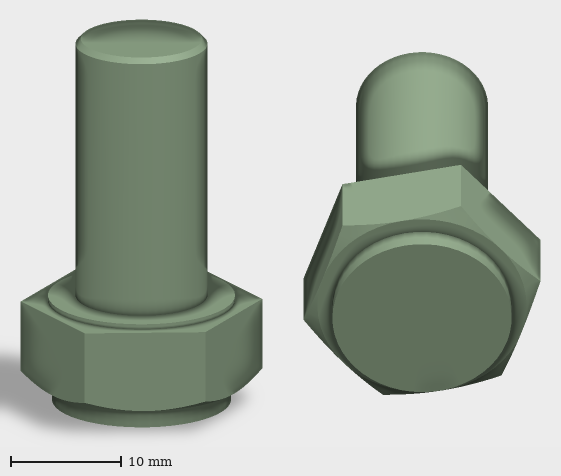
import cadquery as cq
import math

total_height = 34.5
boss_diameter = 16.3
boss_height = 2.0
across_flats = 19.0
hex_height = 7.5
collar_diameter = 17.0
collar_height = 0.5
shank_diameter = 12.0
shank_chamfer = 0.5
hex_chamfer_angle = 30.0

across_corners = across_flats / math.cos(math.radians(30))
hex_top = boss_height + hex_height
collar_top = hex_top + collar_height
shank_height = total_height - collar_top


def cylinder(diameter, height, base):
    """Upright cylinder on the Z axis, standing at the given level."""
    return cq.Workplane("XY").workplane(offset=base).circle(diameter / 2).extrude(height)


def hexagon_nut():
    """Hexagon with corners on the Y axis and its lower corners cut by a cone."""
    prism = (
        cq.Workplane("XY")
        .workplane(offset=boss_height)
        .transformed(rotate=(0, 0, 90))
        .polygon(6, across_corners)
        .extrude(hex_height)
    )
    inner_radius = across_flats / 2
    outer_radius = across_corners
    cone_rise = (outer_radius - inner_radius) * math.tan(math.radians(hex_chamfer_angle))
    envelope = (
        cq.Workplane("XZ")
        .moveTo(0, boss_height)
        .lineTo(inner_radius, boss_height)
        .lineTo(outer_radius, boss_height + cone_rise)
        .lineTo(outer_radius, hex_top)
        .lineTo(0, hex_top)
        .close()
        .revolve(360, (0, 0, 0), (0, 1, 0))
    )
    return prism.intersect(envelope)


boss = cylinder(boss_diameter, boss_height, 0)
collar = cylinder(collar_diameter, collar_height, hex_top)
shank = cylinder(shank_diameter, shank_height, collar_top).faces(">Z").chamfer(shank_chamfer)

result = hexagon_nut().union(boss).union(collar).union(shank)